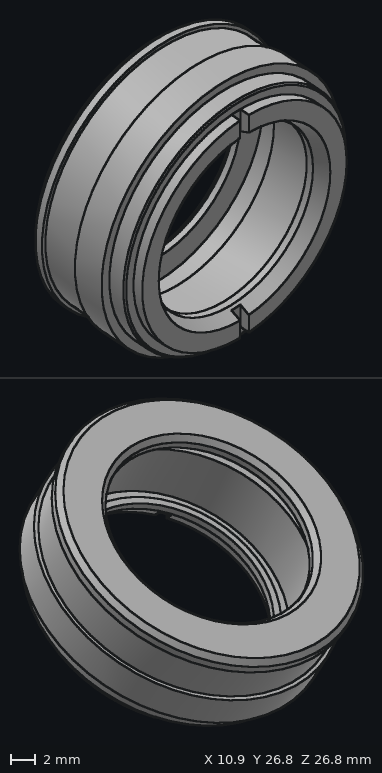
import cadquery as cq


fit_diameter = 23.0
clear_diameter = 18.0
overall_length = 10.9

outer_diameter = 26.75
waist_diameter = 25.97
step_diameter = 25.0
front_chamfer = 0.5
front_rim_end = 1.25
waist_end = 5.05
body_end = 8.13
housing_length = 9.9
step_chamfer = 0.15
lip_thickness = 1.2

sleeve_start = 3.5
sleeve_bore_diameter = 21.03
sleeve_floor = 9.2
nose_diameter = 19.3
nose_start = 8.83
flare_start = 9.55
flare_diameter = 19.3
slot_width = 1.0
slot_depth = overall_length - housing_length


def revolve_ring(profile):
    """Revolve a closed profile of (x, radius) points around the X axis."""
    return cq.Workplane("XY").polyline(profile).close().revolve(360, (0, 0, 0), (1, 0, 0))


def make_housing():
    """Stepped ring with an inward lip at the front and an open bore behind it."""
    outer_radius = outer_diameter / 2
    waist_radius = waist_diameter / 2
    step_radius = step_diameter / 2
    clear_radius = clear_diameter / 2
    bore_radius = fit_diameter / 2
    profile = [
        (0, clear_radius + front_chamfer),
        (0, outer_radius - front_chamfer),
        (front_chamfer, outer_radius),
        (front_rim_end, outer_radius),
        (front_rim_end, waist_radius),
        (waist_end, waist_radius),
        (waist_end, outer_radius),
        (body_end, outer_radius),
        (body_end, step_radius),
        (housing_length - step_chamfer, step_radius),
        (housing_length, step_radius - step_chamfer),
        (housing_length, bore_radius),
        (lip_thickness, bore_radius),
        (lip_thickness, clear_radius),
        (front_chamfer, clear_radius),
    ]
    return revolve_ring(profile)


def make_sleeve():
    """Retaining sleeve with an inner nose, a flared rear opening and two rear slots."""
    fit_radius = fit_diameter / 2
    bore_radius = sleeve_bore_diameter / 2
    nose_radius = nose_diameter / 2
    clear_radius = clear_diameter / 2
    profile = [
        (sleeve_start, bore_radius),
        (sleeve_start, fit_radius),
        (overall_length, fit_radius),
        (overall_length, flare_diameter / 2),
        (flare_start, clear_radius),
        (nose_start, clear_radius),
        (nose_start, nose_radius),
        (sleeve_floor, nose_radius),
        (sleeve_floor, bore_radius),
    ]
    slot_bar = cq.Workplane("XY").box(slot_depth, slot_width, outer_diameter)
    slot_bar = slot_bar.translate((overall_length - slot_depth / 2, 0, 0))
    return revolve_ring(profile).cut(slot_bar)


housing = make_housing()
sleeve = make_sleeve()

result = cq.Compound.makeCompound([housing.val(), sleeve.val()])